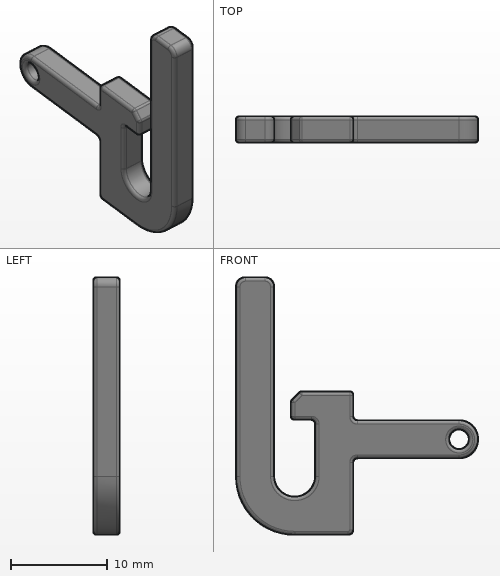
import cadquery as cq

height = 26.83
length = 25.22
thickness = 2.8

shank_width = 4.0
bend_radius = 6.12
slot_radius = bend_radius - shank_width
shank_tip_radius = 1.0
body_right = 12.23
body_left = bend_radius + slot_radius

catch_left = 5.71
catch_bottom = 11.97
catch_top = 14.95
catch_chamfer = 1.0

handle_width = 4.0
handle_center_z = 9.95
handle_radius = handle_width / 2
handle_end_x = length - handle_radius
handle_bottom = handle_center_z - handle_radius
handle_top = handle_center_z + handle_radius
hole_diameter = 2.0

edge_radius = 0.4
heel_radius = 0.56
pick_tolerance = 0.03


def make_blank():
    """Extrude the side outline through the thickness, centred on Y = 0."""
    outline = (
        cq.Workplane("XZ")
        .moveTo(0, height)
        .lineTo(0, bend_radius)
        .radiusArc((bend_radius, 0), -bend_radius)
        .lineTo(body_right, 0)
        .lineTo(body_right, handle_bottom)
        .lineTo(handle_end_x, handle_bottom)
        .threePointArc((length, handle_center_z), (handle_end_x, handle_top))
        .lineTo(body_right, handle_top)
        .lineTo(body_right, catch_top)
        .lineTo(catch_left + catch_chamfer, catch_top)
        .lineTo(catch_left, catch_top - catch_chamfer)
        .lineTo(catch_left, catch_bottom)
        .lineTo(body_left, catch_bottom)
        .lineTo(body_left, bend_radius)
        .threePointArc((bend_radius, bend_radius - slot_radius), (shank_width, bend_radius))
        .lineTo(shank_width, height)
        .close()
    )
    return outline.extrude(thickness / 2, both=True)


def edges_at(x, z):
    """Select the outline corner that runs through the thickness at (x, z)."""
    reach = thickness / 2 + pick_tolerance
    return cq.selectors.BoxSelector(
        (x - pick_tolerance, -reach, z - pick_tolerance),
        (x + pick_tolerance, reach, z + pick_tolerance),
    )


def round_corners(blank, corners, radius):
    for x, z in corners:
        blank = blank.edges("|Y").edges(edges_at(x, z)).fillet(radius)
    return blank


shank_tip_corners = [(0, height), (shank_width, height)]
heel_corners = [(body_right, 0)]
small_corners = [
    (body_right, handle_bottom),
    (body_right, handle_top),
    (body_right, catch_top),
    (catch_left + catch_chamfer, catch_top),
    (catch_left, catch_top - catch_chamfer),
    (catch_left, catch_bottom),
    (body_left, catch_bottom),
]

hole = (
    cq.Workplane("XZ")
    .center(handle_end_x, handle_center_z)
    .circle(hole_diameter / 2)
    .extrude(thickness, both=True)
)

result = round_corners(make_blank(), shank_tip_corners, shank_tip_radius)
result = round_corners(result, heel_corners, heel_radius)
result = round_corners(result, small_corners, edge_radius)
result = result.cut(hole)

result = result.faces("<Y or >Y").edges().fillet(edge_radius)